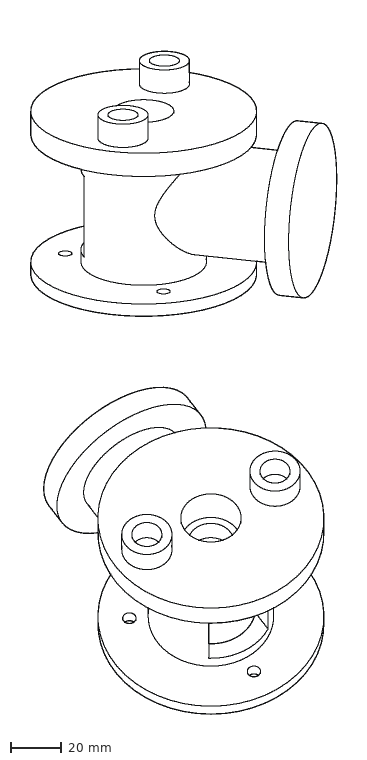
import cadquery as cq

total_length = 115.0
total_height = 80.0
flange_diameter = 90.0

base_thickness = 5.3
top_thickness = 10.0
boss_height = 10.0
body_diameter = 50.0
top_face_z = total_height - boss_height

bore_diameter = 35.4
opening_diameter = 24.0
opening_depth = 15.5
neck_diameter = 18.0

window_width = 27.7
window_bottom = 10.5
window_top = 45.1

branch_diameter = 45.0
branch_flange_diameter = top_face_z
branch_flange_thickness = 10.0
branch_z = branch_flange_diameter / 2
branch_end = total_length - flange_diameter / 2

boss_diameter = 20.0
boss_hole_diameter = 12.0
boss_spacing = 60.0

bolt_hole_diameter = 5.3
bolt_circle_diameter = 65.0
bolt_count = 3
first_bolt_angle = 180


def upright_cylinder(diameter, bottom, top):
    return cq.Workplane("XY").workplane(offset=bottom).circle(diameter / 2).extrude(top - bottom)


def branch_cylinder(diameter, start, end):
    plane = cq.Workplane("YZ", origin=(start, 0, branch_z))
    return plane.circle(diameter / 2).extrude(end - start)


def outer_shape():
    base = upright_cylinder(flange_diameter, 0, base_thickness)
    body = upright_cylinder(body_diameter, 0, top_face_z)
    top_flange = upright_cylinder(flange_diameter, top_face_z - top_thickness, top_face_z)
    branch = branch_cylinder(branch_diameter, 0, branch_end)
    branch_flange = branch_cylinder(
        branch_flange_diameter, branch_end - branch_flange_thickness, branch_end
    )
    return base.union(body).union(top_flange).union(branch).union(branch_flange)


def bosses():
    ring = upright_cylinder(boss_diameter, top_face_z, total_height)
    ring = ring.cut(upright_cylinder(boss_hole_diameter, top_face_z, total_height))
    offset = boss_spacing / 2
    return ring.translate((0, offset, 0)).union(ring.translate((0, -offset, 0)))


def stepped_bore():
    bore = upright_cylinder(bore_diameter, 0, window_top)
    neck = upright_cylinder(neck_diameter, 0, top_face_z)
    opening = upright_cylinder(opening_diameter, top_face_z - opening_depth, top_face_z)
    return bore.union(neck).union(opening)


def window():
    return cq.Workplane("XY").box(
        body_diameter / 2, window_width, window_top - window_bottom, centered=(False, True, False)
    ).translate((-body_diameter / 2, 0, window_bottom))


def bolt_holes():
    return (
        cq.Workplane("XY")
        .polarArray(bolt_circle_diameter / 2, first_bolt_angle, 360, bolt_count)
        .circle(bolt_hole_diameter / 2)
        .extrude(base_thickness)
    )


result = outer_shape().cut(stepped_bore()).cut(window()).cut(bolt_holes()).union(bosses())